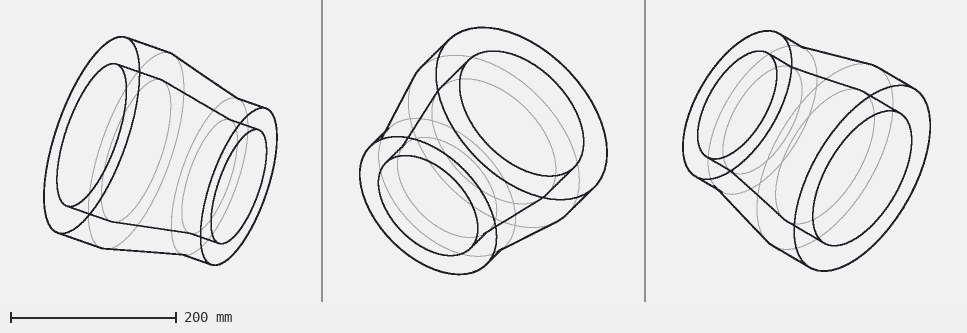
import cadquery as cq

large_outer_diameter = 250.0
large_bore_diameter = 181.5
small_outer_diameter = 200.0
small_bore_diameter = 145.2

total_length = 200.0
large_end_length = 60.0
small_end_length = 40.0
small_end_start = total_length - small_end_length


def reducer_solid(large_diameter, small_diameter):
    """Solid of revolution: large cylinder, cone, then small cylinder."""
    large_radius = large_diameter / 2
    small_radius = small_diameter / 2
    return (
        cq.Workplane("XY")
        .moveTo(0, 0)
        .lineTo(0, large_radius)
        .lineTo(large_end_length, large_radius)
        .lineTo(small_end_start, small_radius)
        .lineTo(total_length, small_radius)
        .lineTo(total_length, 0)
        .close()
        .revolve(360, (0, 0, 0), (1, 0, 0))
    )


body = reducer_solid(large_outer_diameter, small_outer_diameter)
bore = reducer_solid(large_bore_diameter, small_bore_diameter)
result = body.cut(bore)